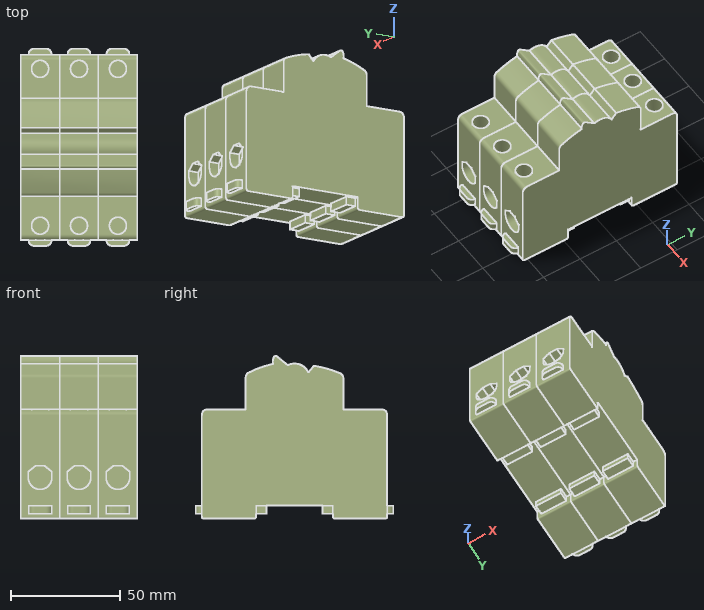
import cadquery as cq
import math

module_count = 3
module_width = 17.8
module_middle = module_width / 2

body_half_depth = 42.4
shoulder_height = 50.0
shoulder_radius = 2.5
foot_radius = 1.0
tower_half_depth = 22.4
tower_corner_radius = 2.6
rail_half_width = 17.5
rail_depth = 6.0

rear_crown_radius = 54.0
rear_crown_top = 70.75
front_crown_radius = 46.0
front_crown_top = 71.9

barrel_radius = 7.0
barrel_center_z = 64.0
groove_rim_y = 8.9
groove_bottom_y = 6.35
lever_foot_y = -3.1
lever_slope = math.radians(40)
lever_top = 74.45
tip_radius = 1.0
tip_center = (-8.6, lever_top - tip_radius)
lever_face_radius = 5.0
lever_face_tilt = math.radians(25)

clip_width = 10.5
clip_nose_width = 5.2
clip_height = 3.8
clip_outer_y = 45.16
clip_corner_radius = 2.7
tongue_width = 13.4
tongue_inner_y = 12.7

screw_hole_diameter = 7.8
screw_hole_y = 35.85
screw_hole_depth = 10.0

wire_radius = 5.4
wire_center_z = 18.8
wire_top_width = 4.1
wire_bevel_height = 2.7
wire_depth = 5.0


def on_arch(y, crest, radius):
    """Point at y on an arch that is centred on Y = 0 and peaks at height crest."""
    return (y, crest - radius + math.sqrt(radius**2 - y**2))


def polar(center, radius, angle):
    """Point at a distance and angle from center, the angle measured from the first axis."""
    return (center[0] + radius * math.cos(angle), center[1] + radius * math.sin(angle))


def rear_crown(y):
    return on_arch(y, rear_crown_top, rear_crown_radius)


def front_crown(y):
    return on_arch(y, front_crown_top, front_crown_radius)


def barrel(y):
    return on_arch(y, barrel_center_z + barrel_radius, barrel_radius)


def housing_blank():
    """Full width of one module, without holes or clips."""
    tip_start = polar(tip_center, tip_radius, math.pi / 2 - lever_slope)
    tip_top = polar(tip_center, tip_radius, math.pi / 2)
    face_angle = math.pi - lever_face_tilt
    tip_end = polar(tip_center, tip_radius, face_angle)
    face_center = polar(tip_center, tip_radius - lever_face_radius, face_angle)
    face_middle = polar(face_center, lever_face_radius, math.pi)
    face_drop = face_center[1] - front_crown(face_middle[0])[1]
    face_end_y = face_center[0] - math.sqrt(lever_face_radius**2 - face_drop**2)

    rear_crown_middle = (tower_half_depth + groove_rim_y) / 2
    front_crown_middle = (face_end_y - tower_half_depth) / 2

    blank = (
        cq.Workplane("YZ")
        .moveTo(rail_half_width, 0)
        .lineTo(body_half_depth, 0)
        .lineTo(body_half_depth, shoulder_height)
        .lineTo(tower_half_depth, shoulder_height)
        .lineTo(*rear_crown(tower_half_depth))
        .threePointArc(rear_crown(rear_crown_middle), rear_crown(groove_rim_y))
        .lineTo(*barrel(groove_bottom_y))
        .threePointArc(barrel(0), barrel(lever_foot_y))
        .lineTo(*tip_start)
        .threePointArc(tip_top, tip_end)
        .threePointArc(face_middle, front_crown(face_end_y))
        .threePointArc(front_crown(front_crown_middle), front_crown(-tower_half_depth))
        .lineTo(-tower_half_depth, shoulder_height)
        .lineTo(-body_half_depth, shoulder_height)
        .lineTo(-body_half_depth, 0)
        .lineTo(-rail_half_width, 0)
        .lineTo(-rail_half_width, rail_depth)
        .lineTo(rail_half_width, rail_depth)
        .close()
        .extrude(module_width)
    )

    def edge_through(y, z):
        return cq.selectors.NearestToPointSelector((module_middle, y, z))

    for side in (-1, 1):
        crown = rear_crown if side > 0 else front_crown
        blank = blank.edges(edge_through(*crown(side * tower_half_depth))).fillet(tower_corner_radius)
        blank = blank.edges(edge_through(side * body_half_depth, shoulder_height)).fillet(shoulder_radius)
        blank = blank.edges(edge_through(side * body_half_depth, 0)).fillet(foot_radius)
        blank = blank.edges(edge_through(side * rail_half_width, 0)).fillet(foot_radius)
    return blank


def rear_clip():
    """Flat clip with its top level with the rail recess, drawn as half an outline and mirrored."""
    half_width = clip_width / 2
    half_nose = clip_nose_width / 2
    arc_center = (half_nose, clip_outer_y - clip_corner_radius)
    side_angle = math.acos((half_width - half_nose) / clip_corner_radius)
    corner_end = polar(arc_center, clip_corner_radius, side_angle)
    corner_middle = polar(arc_center, clip_corner_radius, (side_angle + math.pi / 2) / 2)
    return (
        cq.Workplane("XY", origin=(module_middle, 0, rail_depth))
        .moveTo(0, tongue_inner_y)
        .lineTo(tongue_width / 2, tongue_inner_y)
        .lineTo(tongue_width / 2, rail_half_width)
        .lineTo(half_width, rail_half_width)
        .lineTo(*corner_end)
        .threePointArc(corner_middle, (half_nose, clip_outer_y))
        .lineTo(0, clip_outer_y)
        .mirrorY()
        .extrude(-clip_height)
    )


def rear_screw_hole():
    return (
        cq.Workplane("XY", origin=(module_middle, screw_hole_y, shoulder_height))
        .circle(screw_hole_diameter / 2)
        .extrude(-screw_hole_depth)
    )


def rear_wire_opening():
    bevel_top = wire_radius
    bevel_bottom = wire_radius - wire_bevel_height
    return (
        cq.Workplane("XZ", origin=(module_middle, body_half_depth, wire_center_z))
        .moveTo(-wire_radius, 0)
        .lineTo(-wire_radius, bevel_bottom)
        .lineTo(-wire_top_width / 2, bevel_top)
        .lineTo(wire_top_width / 2, bevel_top)
        .lineTo(wire_radius, bevel_bottom)
        .lineTo(wire_radius, 0)
        .threePointArc((0, -wire_radius), (-wire_radius, 0))
        .close()
        .extrude(wire_depth)
    )


def breaker_module():
    """One module, with the same clip, screw hole and wire opening at both ends."""
    module = housing_blank()
    for make_cut in (rear_screw_hole, rear_wire_opening):
        module = module.cut(make_cut()).cut(make_cut().mirror("XZ"))
    return module.union(rear_clip()).union(rear_clip().mirror("XZ"))


first_module_x = -module_count * module_width / 2
modules = [
    breaker_module().translate((first_module_x + index * module_width, 0, 0))
    for index in range(module_count)
]

result = cq.Compound.makeCompound([module.val() for module in modules])